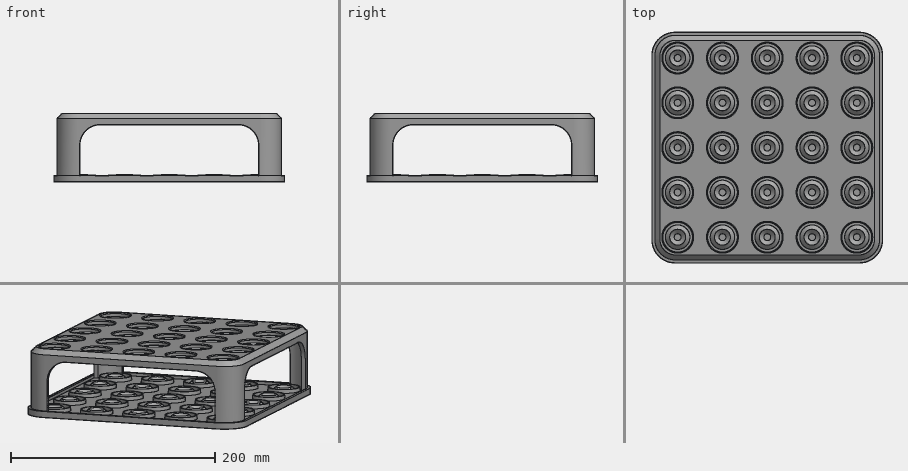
import cadquery as cq

BASE_SIDE = 226.0
TOTAL_HEIGHT = 67.0

RACK_SIDE = 220.0
RACK_CORNER_RADIUS = 20.0
WALL = 4.0
RACK_TOP_CHAMFER = 5.0
WINDOW_WIDTH = 175.0
WINDOW_TOP_Z = TOTAL_HEIGHT - 11.0
WINDOW_CORNER_RADIUS = 20.0

BASE_HEIGHT = 6.0
LIP_WIDTH = (BASE_SIDE - RACK_SIDE) / 2
RECESS_DEPTH = 3.0
FLOOR_Z = BASE_HEIGHT - RECESS_DEPTH

GRID_COUNT = 5
GRID_PITCH = 43.8
HOLE_DIAMETER = 29.2
HOLE_RIM_DIAMETER = 31.2

CUP_BASE_DIAMETER = 32.0
CUP_TOP_DIAMETER = HOLE_RIM_DIAMETER
CUP_INNER_DIAMETER = HOLE_DIAMETER
CUP_TOP_Z = BASE_HEIGHT + 0.7
SEAT_DIAMETER = 24.0
SEAT_CREST_DIAMETER = 15.5
SEAT_DIMPLE_DIAMETER = 6.8
SEAT_HEIGHT = 3.8


def rounded_block(side, corner_radius, bottom_z, top_z):
    """Square block with rounded upright edges, centred on the Z axis."""
    block = cq.Workplane("XY", origin=(0, 0, bottom_z)).rect(side, side).extrude(top_z - bottom_z)
    return block.edges("|Z").fillet(corner_radius)


def grid_points():
    """Centres of all tube places."""
    middle = (GRID_COUNT - 1) / 2
    steps = [(i - middle) * GRID_PITCH for i in range(GRID_COUNT)]
    return [(x, y) for x in steps for y in steps]


def revolved(profile):
    """Solid of revolution about Z of a closed profile of (radius, height) points."""
    return cq.Workplane("XZ").polyline(profile).close().revolve(360, (0, 0), (0, 1))


def cup_ring():
    """Low wall around a tube place, straight inside and tapered outside."""
    return revolved(
        [
            (CUP_INNER_DIAMETER / 2, FLOOR_Z),
            (CUP_BASE_DIAMETER / 2, FLOOR_Z),
            (CUP_TOP_DIAMETER / 2, CUP_TOP_Z),
            (CUP_INNER_DIAMETER / 2, CUP_TOP_Z),
        ]
    )


def tube_seat():
    """Circular ridge with a sharp crest and a conical dimple in its middle."""
    return revolved(
        [
            (SEAT_DIMPLE_DIAMETER / 2, FLOOR_Z),
            (SEAT_DIAMETER / 2, FLOOR_Z),
            (SEAT_CREST_DIAMETER / 2, FLOOR_Z + SEAT_HEIGHT),
        ]
    )


def make_base():
    """Tray with a lip around a recessed floor that carries the cups."""
    tray = rounded_block(BASE_SIDE, RACK_CORNER_RADIUS + LIP_WIDTH, 0, BASE_HEIGHT)
    tray = tray.cut(rounded_block(RACK_SIDE, RACK_CORNER_RADIUS, FLOOR_Z, BASE_HEIGHT))
    ring = cup_ring()
    seat = tube_seat()
    for x, y in grid_points():
        tray = tray.union(ring.translate((x, y, 0)))
        tray = tray.union(seat.translate((x, y, 0)))
    return tray


def window_cutter():
    """Arched opening running along Y through two opposite walls and open at the bottom."""
    return (
        cq.Workplane("XY")
        .box(WINDOW_WIDTH, BASE_SIDE, WINDOW_TOP_Z, centered=(True, True, False))
        .edges("|Y and >Z")
        .fillet(WINDOW_CORNER_RADIUS)
    )


def hole_cutter():
    """Straight hole through the top plate with a 45 degree chamfered rim."""
    rim_depth = (HOLE_RIM_DIAMETER - HOLE_DIAMETER) / 2
    return revolved(
        [
            (0, TOTAL_HEIGHT - WALL),
            (HOLE_DIAMETER / 2, TOTAL_HEIGHT - WALL),
            (HOLE_DIAMETER / 2, TOTAL_HEIGHT - rim_depth),
            (HOLE_RIM_DIAMETER / 2, TOTAL_HEIGHT),
            (0, TOTAL_HEIGHT),
        ]
    )


def make_rack():
    """Shell with a perforated top plate on four corner posts."""
    rack = rounded_block(RACK_SIDE, RACK_CORNER_RADIUS, FLOOR_Z, TOTAL_HEIGHT)
    rack = rack.faces(">Z").chamfer(RACK_TOP_CHAMFER)
    cavity_side = RACK_SIDE - 2 * WALL
    rack = rack.cut(rounded_block(cavity_side, RACK_CORNER_RADIUS, FLOOR_Z, TOTAL_HEIGHT - WALL))
    window = window_cutter()
    rack = rack.cut(window).cut(window.rotate((0, 0, 0), (0, 0, 1), 90))
    hole = hole_cutter()
    for x, y in grid_points():
        rack = rack.cut(hole.translate((x, y, 0)))
    return rack


base = make_base()
rack = make_rack()
result = cq.Compound.makeCompound([base.solids().val(), rack.solids().val()])